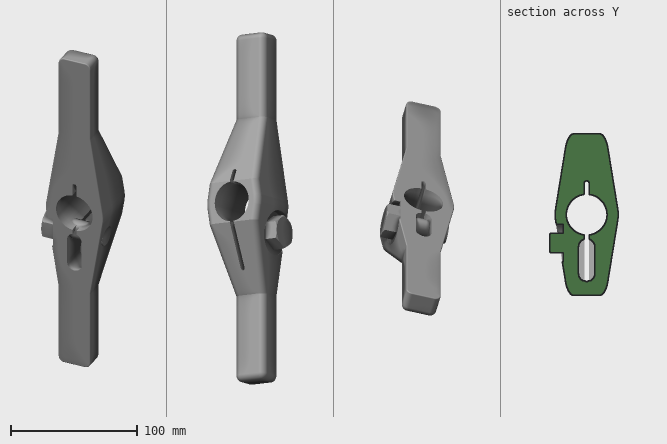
import math

import cadquery as cq

length = 279.5
arm_width = 28.0
arm_depth = 19.0
hub_radius = 25.1
hub_depth = 44.5
hub_flat_half = 16.5
arm_start = 71.0
hub_overlap = 11.2
edge_radius = 5.0
front_edge_radius = 0.8

bore_radius = 16.0
slit_width = 3.5
slit_top = 26.5
pocket_width = 12.5
pocket_top = -19.3
pocket_bottom = -52.8
pocket_wall = 5.0

bolt_y = 12.5
bolt_z = -22.4
shank_radius = 7.8
bolt_hole_radius = 8.0
bolt_end = 22.0
head_flats = 23.5
head_height = 10.5
head_chamfer_angle = 30.0
spotface_radius = 17.5
spotface_x = -18.7

arm_half = arm_width / 2
back_slope_run = arm_start - hub_flat_half
back_slope_rise = hub_depth - arm_depth
tangent_angle = math.atan2(arm_start, arm_half) - math.acos(hub_radius / math.hypot(arm_half, arm_start))
tangent_x = hub_radius * math.cos(tangent_angle)
tangent_z = hub_radius * math.sin(tangent_angle)
hub_end = arm_start + hub_overlap
hub_end_half = arm_half - hub_overlap * math.tan(tangent_angle)
hub_end_depth = arm_depth - hub_overlap * back_slope_rise / back_slope_run


def extrude_along_y(sketch, depth):
    """Extrude an XZ sketch (whose plane normal is -Y) from its plane toward +Y."""
    return sketch.extrude(-depth)


def make_arms():
    """Straight bar of both arms, rounded everywhere except around the front face."""
    bar = cq.Workplane("XY").box(arm_width, arm_depth, length, centered=(True, False, True))
    return bar.edges("|Y or >Y").fillet(edge_radius)


def make_hub():
    """Hub tapering from the bore to both arms, with its ends buried in them."""
    outline = (
        cq.Workplane("XZ")
        .moveTo(-hub_end_half, -hub_end)
        .lineTo(hub_end_half, -hub_end)
        .lineTo(tangent_x, -tangent_z)
        .threePointArc((hub_radius, 0), (tangent_x, tangent_z))
        .lineTo(hub_end_half, hub_end)
        .lineTo(-hub_end_half, hub_end)
        .lineTo(-tangent_x, tangent_z)
        .threePointArc((-hub_radius, 0), (-tangent_x, -tangent_z))
        .close()
    )
    side_profile = (
        cq.Workplane("YZ")
        .polyline([
            (0, -hub_end),
            (hub_end_depth, -hub_end),
            (hub_depth, -hub_flat_half),
            (hub_depth, hub_flat_half),
            (hub_end_depth, hub_end),
            (0, hub_end),
        ])
        .close()
        .extrude(hub_radius, both=True)
    )
    hub = extrude_along_y(outline, hub_depth).intersect(side_profile)
    for side in (-1, 1):
        near_corner = (side * hub_end_half / 2, hub_end_depth, -hub_end)
        far_corner = (side * 2 * hub_radius, 2 * hub_depth, hub_end)
        hub = hub.edges(cq.selectors.BoxSelector(near_corner, far_corner)).fillet(edge_radius)
    return hub


def make_body():
    body = make_arms().union(make_hub())
    return body.faces("<Y").edges().fillet(front_edge_radius)


def upright_slot(top, bottom, width):
    """Round-ended slot running through the hub depth."""
    sketch = cq.Workplane("XZ").center(0, (top + bottom) / 2).slot2D(top - bottom, width, 90)
    return extrude_along_y(sketch, hub_depth)


def make_pocket():
    """Rounded slot whose floor keeps an even wall under the sloping back."""
    wall_in_y = pocket_wall * math.hypot(back_slope_run, back_slope_rise) / back_slope_run
    above_floor = (
        cq.Workplane("YZ")
        .polyline([
            (0, -arm_start),
            (arm_depth - wall_in_y, -arm_start),
            (hub_depth - wall_in_y, -hub_flat_half),
            (0, -hub_flat_half),
        ])
        .close()
        .extrude(pocket_width, both=True)
    )
    return upright_slot(pocket_top, pocket_bottom, pocket_width).intersect(above_floor)


def bolt_plane(x):
    return cq.Workplane("YZ", origin=(x, bolt_y, bolt_z))


def make_bolt():
    """Hexagon bolt with two flats parallel to the front face."""
    half_flats = head_flats / 2
    corner_radius = half_flats / math.cos(math.pi / 6)
    hexagon = (
        bolt_plane(spotface_x)
        .transformed(rotate=(0, 0, 30))
        .polygon(6, 2 * corner_radius)
        .extrude(-head_height)
    )
    chamfer_width = corner_radius - half_flats
    chamfer_height = chamfer_width * math.tan(math.radians(head_chamfer_angle))
    round_blank = (
        bolt_plane(spotface_x)
        .circle(corner_radius)
        .extrude(-head_height)
        .faces("<X")
        .chamfer(chamfer_height, chamfer_width)
    )
    shank = bolt_plane(spotface_x).circle(shank_radius).extrude(bolt_end - spotface_x)
    return hexagon.intersect(round_blank).union(shank)


bore = extrude_along_y(cq.Workplane("XZ").circle(bore_radius), hub_depth)
slit = upright_slot(slit_top, pocket_bottom, slit_width)
spotface = bolt_plane(spotface_x).circle(spotface_radius).extrude(-hub_radius)
bolt_hole = bolt_plane(-hub_radius).circle(bolt_hole_radius).extrude(2 * hub_radius)

result = (
    make_body()
    .cut(bore)
    .cut(slit)
    .cut(make_pocket())
    .cut(spotface)
    .cut(bolt_hole)
    .union(make_bolt())
)